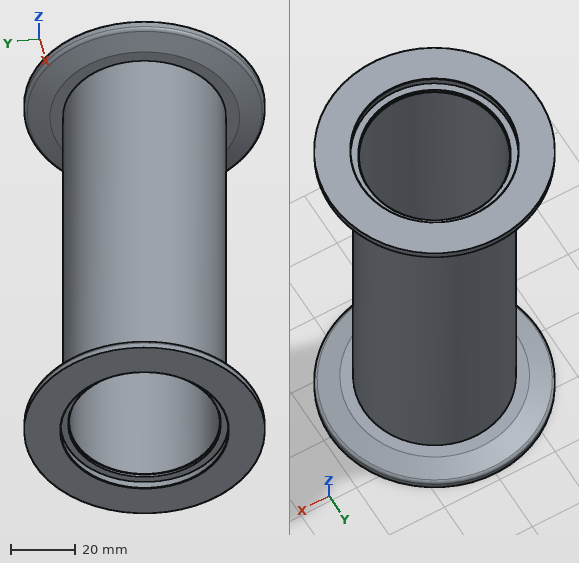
import cadquery as cq

length = 140.0
flange_diameter = 75.0

tube_outer_diameter = 50.8
tube_bore_diameter = 46.9

flange_thickness = 5.3
rim_height = 3.0
rim_rounding = 1.3
hub_diameter = 59.1
flange_bore_diameter = 47.6
recess_diameter = 52.2
recess_depth = 2.7
recess_edge_break = 0.21
socket_floor_depth = 3.6

tube_length = length - 2 * socket_floor_depth


def make_tube():
    """Plain tube that seats in the back sockets of both flanges."""
    return (
        cq.Workplane("XY")
        .workplane(offset=socket_floor_depth)
        .circle(tube_outer_diameter / 2)
        .circle(tube_bore_diameter / 2)
        .extrude(tube_length)
    )


def make_flange():
    """Tapered clamp flange, with its sealing face at Z = 0 and a tube socket in its back."""
    rim_radius = flange_diameter / 2
    bore_radius = flange_bore_diameter / 2
    recess_radius = recess_diameter / 2
    socket_radius = tube_outer_diameter / 2
    body = (
        cq.Workplane("XZ")
        .moveTo(recess_radius + recess_edge_break, 0)
        .lineTo(rim_radius, 0)
        .lineTo(rim_radius, rim_height)
        .lineTo(hub_diameter / 2, flange_thickness)
        .lineTo(socket_radius, flange_thickness)
        .lineTo(socket_radius, socket_floor_depth)
        .lineTo(bore_radius, socket_floor_depth)
        .lineTo(bore_radius, recess_depth)
        .lineTo(recess_radius, recess_depth)
        .lineTo(recess_radius, recess_edge_break)
        .close()
        .revolve(360, (0, 0, 0), (0, 1, 0))
    )
    rim_edges = body.edges("%CIRCLE").edges(cq.selectors.RadiusNthSelector(-1))
    return rim_edges.edges(">Z").fillet(rim_rounding)


tube = make_tube()
bottom_flange = make_flange()
top_flange = make_flange().mirror("XY").translate((0, 0, length))

result = cq.Compound.makeCompound([tube.val(), bottom_flange.val(), top_flange.val()])